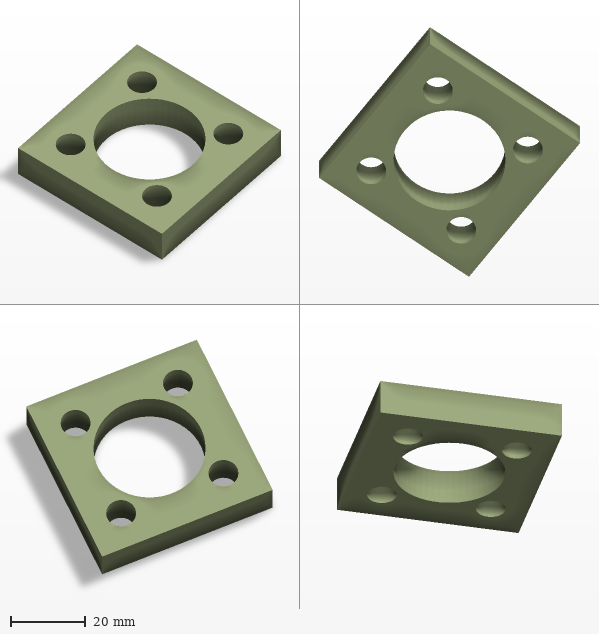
import cadquery as cq

plate_side = 50.0
plate_thickness = 10.0

bore_diameter = 30.0
corner_hole_diameter = 8.0
corner_hole_spacing = 30.0


def make_plate():
    """Square plate centred on the Z axis, resting on Z = 0."""
    return cq.Workplane("XY").box(
        plate_side, plate_side, plate_thickness, centered=(True, True, False)
    )


def cut_bore(body):
    """Central through bore."""
    return body.faces(">Z").workplane().hole(bore_diameter)


def cut_corner_holes(body):
    """Four through holes on a square pattern around the bore."""
    return (
        body.faces(">Z")
        .workplane(origin=(0, 0, plate_thickness))
        .rarray(corner_hole_spacing, corner_hole_spacing, 2, 2)
        .hole(corner_hole_diameter)
    )


result = cut_corner_holes(cut_bore(make_plate()))